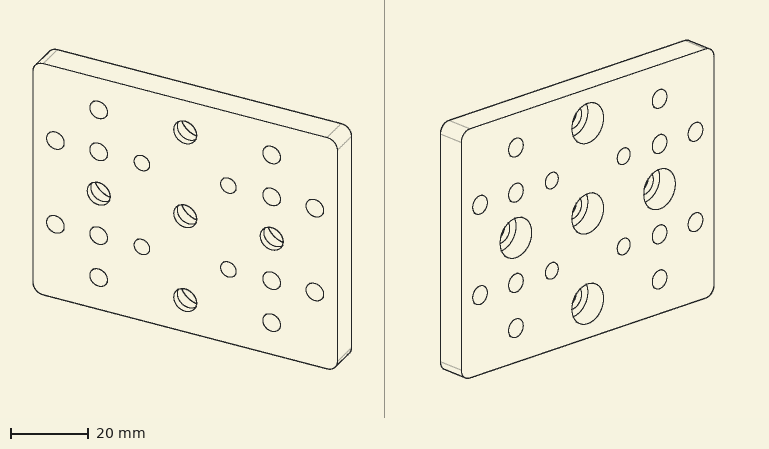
import cadquery as cq

width = 88.0
thickness = 8.0
height = 69.0
corner_radius = 3.0

pitch = 12.5
large_diameter = 6.6
medium_diameter = 5.1
small_diameter = 4.5

counterbore_diameter = 11.0
web_thickness = 2.0


def mirrored(column, row):
    """Grid position repeated in all four quadrants."""
    return [(i * column * pitch, j * row * pitch) for i in (-1, 1) for j in (-1, 1)]


large_holes = [
    (column * pitch, row * pitch)
    for column, row in [(0, 0), (-2, 0), (2, 0), (0, -2), (0, 2)]
]
medium_holes = mirrored(2, 2) + mirrored(2, 1) + mirrored(3, 1)
small_holes = mirrored(1, 1)

plate = cq.Workplane("XY").box(width, thickness, height).edges("|Y").fillet(corner_radius)


def drill(body, centers, diameter):
    """Through holes along Y at the given X, Z centres."""
    return body.faces("<Y").workplane(origin=(0, 0, 0)).pushPoints(centers).hole(diameter)


result = drill(plate, large_holes, large_diameter)
result = drill(result, medium_holes, medium_diameter)
result = drill(result, small_holes, small_diameter)

counterbores = (
    cq.Workplane("XZ", origin=(0, thickness / 2, 0))
    .pushPoints(large_holes)
    .circle(counterbore_diameter / 2)
    .extrude(thickness - web_thickness)
)
result = result.cut(counterbores)